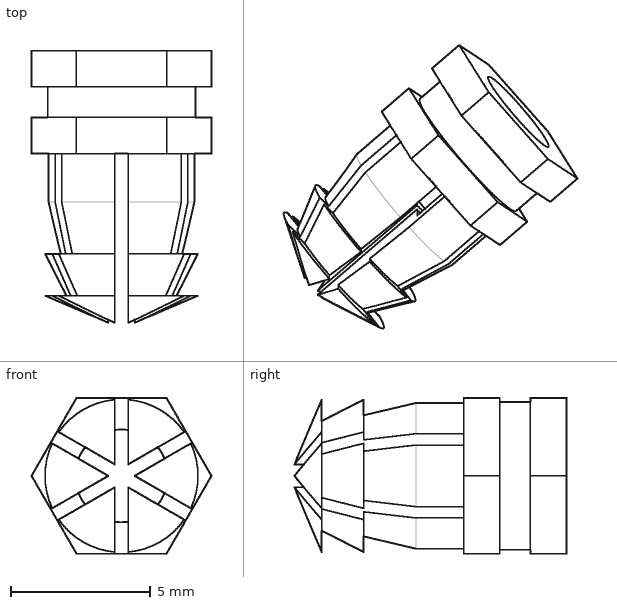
import cadquery as cq
import math

total_length = 9.78
hex_flats = 5.6
hex_length = 1.3
groove_length = 1.1
groove_radius = 2.66
bore_radius = 1.66
bore_depth = 5.04

shank_radius = 2.63
shank_end = 5.42
taper_end = 7.3
taper_end_radius = 2.19
first_barb_end = 8.8
barb_radius = 2.75
first_barb_end_radius = 1.99

slot_width = 0.47
slot_count = 3

hex_corners = hex_flats / math.cos(math.radians(30))
front_hex_start = hex_length + groove_length
head_length = front_hex_start + hex_length
tip_radius = slot_width
back_y = total_length / 2


def plane_at(distance):
    """Plane at a distance from the back face, with its normal toward the tip."""
    return cq.Workplane("XZ", origin=(0, back_y - distance, 0))


def hex_collar(start):
    return plane_at(start).polygon(6, hex_corners).extrude(hex_length)


def barbed_shank():
    """Solid of revolution from the front collar to the tip."""
    profile = [
        (0, head_length),
        (shank_radius, head_length),
        (shank_radius, shank_end),
        (taper_end_radius, taper_end),
        (barb_radius, taper_end),
        (first_barb_end_radius, first_barb_end),
        (barb_radius, first_barb_end),
        (tip_radius, total_length),
        (0, total_length),
    ]
    points = [(radius, back_y - distance) for radius, distance in profile]
    return cq.Workplane("XY").polyline(points).close().revolve(360, (0, 0), (0, 1))


def finger_slot(angle):
    slot_span = 2 * hex_corners
    slot = plane_at(head_length).rect(slot_width, slot_span).extrude(total_length - head_length)
    return slot.rotate((0, 0, 0), (0, 1, 0), angle)


fingers = barbed_shank()
for index in range(slot_count):
    fingers = fingers.cut(finger_slot(index * 180 / slot_count))

neck = plane_at(hex_length).circle(groove_radius).extrude(groove_length)
head = hex_collar(0).union(neck).union(hex_collar(front_hex_start))

bore = plane_at(0).circle(bore_radius).extrude(bore_depth)

result = head.union(fingers).cut(bore)